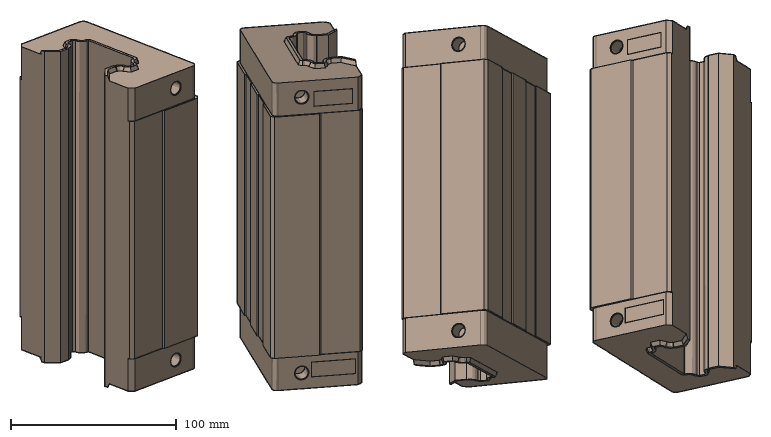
import cadquery as cq
import math

WIDTH = 100.0
HEIGHT = 57.0
LENGTH = 203.8

LIP_HEIGHT = 2.7
CAP_LENGTH = 21.4
CAP_SPAN = LENGTH - 2 * LIP_HEIGHT
BODY_LENGTH = CAP_SPAN - 2 * CAP_LENGTH

LOWER_HALF_WIDTH = 49.1
STEP_TOP = 27.0
STEP_BOTTOM = 26.0
BODY_CHAMFER = 2.0

RELIEF_INNER_X = 10.0
RELIEF_OUTER_X = 26.0
RELIEF_DEPTH = 0.8

CAP_WIDTH = 97.4
CAP_HEIGHT = 55.6
CAP_CORNER_RADIUS = 3.2
CAP_CHAMFER = 2.9

MOUTH_HALF_WIDTH = 25.75
THROAT_HALF_WIDTH = 19.1
ROOF_HALF_WIDTH = 19.6
WAIST_HALF_WIDTH = 26.3
ROOF_Y = 31.0
ROOF_CHAMFER = 0.3
WAIST_Y = 22.3
WAIST_HALF_HEIGHT = 2.0
BEAD_RADIUS = 5.3
BEAD_X = ROOF_HALF_WIDTH + BEAD_RADIUS
UPPER_BEAD_Y = 30.6
LOWER_BEAD_Y = 2 * WAIST_Y - UPPER_BEAD_Y

LIP_BASE_WIDTH = 2.9
LIP_TOP_WIDTH = 1.8

PORT_DIAMETER = 8.1
PORT_CHAMFER = 0.4
PORT_DEPTH = 10.0
PORT_Y = 37.8
PORT_Z = 88.9

LABEL_DEPTH = 0.2
LABEL_HEIGHT = 9.5
LABEL_Z = 87.2
UPPER_LABEL_Y = (6.5, 30.1)
LOWER_LABEL_Y = (4.7, 31.7)

MARGIN = 5.0


def make_body():
    """Block with side steps, chamfered long edges and two reliefs in the mounting face."""
    half = WIDTH / 2
    right_side = [
        (LOWER_HALF_WIDTH - BODY_CHAMFER, 0),
        (LOWER_HALF_WIDTH, BODY_CHAMFER),
        (LOWER_HALF_WIDTH, STEP_BOTTOM),
        (half, STEP_TOP),
        (half, HEIGHT - BODY_CHAMFER),
        (half - BODY_CHAMFER, HEIGHT),
    ]
    left_side = [(-x, y) for x, y in reversed(right_side)]
    outline = cq.Workplane("XY").polyline(right_side + left_side).close()
    body = outline.extrude(BODY_LENGTH / 2, both=True)

    relief_width = RELIEF_OUTER_X - RELIEF_INNER_X
    relief_centre = (RELIEF_OUTER_X + RELIEF_INNER_X) / 2
    reliefs = (
        cq.Workplane("XY")
        .pushPoints([(-relief_centre, HEIGHT), (relief_centre, HEIGHT)])
        .rect(relief_width, 2 * RELIEF_DEPTH)
        .extrude(BODY_LENGTH / 2, both=True)
    )
    return body.cut(reliefs)


def make_caps():
    """Both end caps as one block that runs through the body."""
    return (
        cq.Workplane("XY")
        .box(CAP_WIDTH, CAP_HEIGHT, CAP_SPAN)
        .translate((0, CAP_HEIGHT / 2, 0))
        .edges("|Z and >Y").fillet(CAP_CORNER_RADIUS)
        .edges("|Z and <Y").chamfer(CAP_CHAMFER)
    )


def mirror_join(right_half):
    return right_half.union(right_half.mirror("YZ"))


def half_opening_outline(workplane, grow=0.0):
    """Right half of the rail opening, with its walls moved outwards by grow."""
    bend_shift = grow * math.tan(math.radians(22.5))
    throat = THROAT_HALF_WIDTH + grow
    wall = ROOF_HALF_WIDTH + grow
    waist = WAIST_HALF_WIDTH + grow
    waist_half_height = WAIST_HALF_HEIGHT + bend_shift
    roof = ROOF_Y + grow
    roof_corner = ROOF_HALF_WIDTH - ROOF_CHAMFER + bend_shift
    roof_shoulder = ROOF_Y - ROOF_CHAMFER + bend_shift
    throat_end = MOUTH_HALF_WIDTH - THROAT_HALF_WIDTH + bend_shift
    bead_radius = BEAD_RADIUS - grow
    bead_diagonal = bead_radius * math.sqrt(0.5)
    return (
        workplane
        .moveTo(0, -MARGIN)
        .lineTo(throat + throat_end + MARGIN, -MARGIN)
        .lineTo(throat, throat_end)
        .lineTo(throat, LOWER_BEAD_Y)
        .lineTo(wall, LOWER_BEAD_Y)
        .threePointArc(
            (BEAD_X - bead_diagonal, LOWER_BEAD_Y + bead_diagonal),
            (BEAD_X, LOWER_BEAD_Y + bead_radius),
        )
        .lineTo(waist, WAIST_Y - waist_half_height)
        .lineTo(waist, WAIST_Y + waist_half_height)
        .lineTo(BEAD_X, UPPER_BEAD_Y - bead_radius)
        .threePointArc(
            (BEAD_X - bead_diagonal, UPPER_BEAD_Y - bead_diagonal),
            (wall, UPPER_BEAD_Y),
        )
        .lineTo(wall, roof_shoulder)
        .lineTo(roof_corner, roof)
        .lineTo(0, roof)
        .close()
    )


def make_opening():
    half_outline = half_opening_outline(cq.Workplane("XY"))
    return mirror_join(half_outline.extrude(LENGTH / 2 + MARGIN, both=True))


def make_lips():
    """Tapered rims standing on both caps, trimmed flush with the open face."""
    base = half_opening_outline(cq.Workplane("XY", origin=(0, 0, CAP_SPAN / 2)), LIP_BASE_WIDTH)
    lip = half_opening_outline(base.workplane(offset=LIP_HEIGHT), LIP_TOP_WIDTH).loft(ruled=True)
    keep = cq.Workplane("XY").box(WIDTH, HEIGHT, LENGTH).translate((0, HEIGHT / 2, 0))
    lip = mirror_join(lip.intersect(keep))
    return lip.union(lip.mirror("XY"))


def make_ports():
    """Blind round cutters with a chamfered mouth, in both sides of both caps."""
    radius = PORT_DIAMETER / 2
    mouth_radius = radius + PORT_CHAMFER
    ports = cq.Workplane("XY")
    for side in (-1, 1):
        for end in (-1, 1):
            start = cq.Vector(side * CAP_WIDTH / 2, PORT_Y, end * PORT_Z)
            inward = cq.Vector(-side, 0, 0)
            bore = cq.Solid.makeCylinder(radius, PORT_DEPTH, start, inward)
            mouth = cq.Solid.makeCone(mouth_radius, radius, PORT_CHAMFER, start, inward)
            ports = ports.union(cq.Workplane(bore.fuse(mouth)))
    return ports


def make_label(y_range, z_centre):
    """Shallow rectangular cutter in the -X side of a cap."""
    y_low, y_high = y_range
    label = cq.Workplane("XY").box(2 * LABEL_DEPTH, y_high - y_low, LABEL_HEIGHT)
    return label.translate((-CAP_WIDTH / 2, (y_low + y_high) / 2, z_centre))


result = make_body().union(make_caps()).union(make_lips())
result = result.cut(make_opening()).cut(make_ports())
result = result.cut(make_label(UPPER_LABEL_Y, LABEL_Z))
result = result.cut(make_label(LOWER_LABEL_Y, -LABEL_Z))